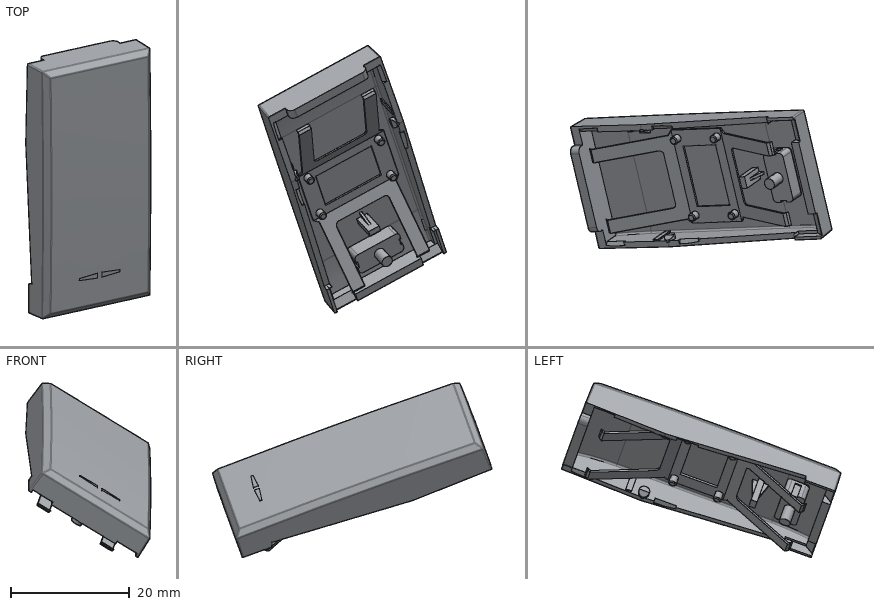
import cadquery as cq
import math


ROLL = 33.0
PITCH = 20.0

LENGTH = 44.4
WIDTH = 21.7
DRAFT = 2.0
BEVEL_SIZE = 1.05
CROWN = 0.3
EDGE_ROUND = 0.25
DEPTH = 6.6
MARGIN = 1.4

FOOT_LENGTH = 5.2
FOOT_RAMP = 0.25
FOOT_Z = -3.9
LOW_END_Z = -3.05
PIVOT_Y = 30.15
PIVOT_Z = -4.8
HIGH_END_Z = -4.35
TONGUE_HALF = 7.68
TONGUE_Z = -6.0
TONGUE_ROUND = 1.05
NOTCH_Z = -3.4
NOTCH_INNER = 6.45

CAVITY_HALF = 9.95
CAVITY_START = 1.35
CAVITY_END = 42.9
CEILING_Z = -0.4
FLAT_START = 8.15
FLAT_END = 36.02
CEILING_DROP = 0.5
CEILING_FILLET = 0.35
THIN_WALL_HALF = 10.45
THIN_WALL_Z = -2.4
GUIDE_SPANS = [(24.2, 28.0), (39.2, CAVITY_END)]
GUIDE_WIDTH = 0.65
GUIDE_HEIGHT = 0.45

BOSS_RADIUS = 0.92
BOSS_HEIGHT = 0.75
BOSS_STEP = 0.1
BOSS_Z = -3.9
ROOT = 0.25
RIB_START = 32.15
RIB_WIDTH = 1.05
RIB_HEIGHT = 0.25
RIB_Z = -4.47
STOP_Y = 12.2
STOP_LENGTH = 1.1
STOP_WIDTH = 2.05
STOP_Z = -4.9
GUSSET_LENGTH = 2.9
GUSSET_THICKNESS = 0.45
GUSSET_Z = -3.4

SPRING_CENTRE_Y = 22.15
SPRING_THICKNESS = 0.4
PLATE_HALF_LENGTH = 4.95
PLATE_HALF_WIDTH = 8.4
LEG_OUTER = 7.55
LEG_INNER = 5.2
LEG_ROOT = 6.88
LEG_TAPER = 0.7
LEG_TIP = 17.7
LEG_TIP_Z = -6.75
LEG_ROUND = 0.7
TOE_LENGTH = 0.7
TOE_RISE = 0.35
TOE_UNDERCUT = 0.25
WINDOW_LENGTH = 6.6
WINDOW_HALF_WIDTH = 5.45
PIN_RADIUS = 0.685
PIN_X = 6.9
PIN_PITCH = 8.0
PIN_Z = -2.2
PIN_CHAMFER = 0.2

PIPE_Y = 6.1
PIPE_LENGTH = 3.95
PIPE_HALF_WIDTH = 4.4
PIPE_Z = -3.25
PIPE_ROUND = 0.7
GROOVE_WIDTH = 1.15
GROOVE_DEPTH = 0.3
POST_RADIUS = 0.965
POST_Z = -6.15
MARK_INNER = 0.42
MARK_OUTER = 4.05
MARK_INNER_HALF = 0.447
MARK_OUTER_HALF = 0.2


def side_prism(profile, half_width):
    """Extrude a closed profile drawn in (Y, Z) symmetrically across the width."""
    return profile.extrude(half_width, both=True)


def box(x_span, y_span, z_span):
    size = [high - low for low, high in (x_span, y_span, z_span)]
    return cq.Workplane("XY").box(*size, centered=False).translate((x_span[0], y_span[0], z_span[0]))


def both_sides(half):
    return half.union(half.mirror("YZ"))


def make_blank():
    """Solid outside shape: drafted walls, crowned and bevelled touch face."""
    spread = DEPTH * math.tan(math.radians(DRAFT))

    crown_radius = ((LENGTH / 2) ** 2 + CROWN**2) / (2 * CROWN)
    swing = math.degrees(math.asin((LENGTH / 2 + 2 * MARGIN) / crown_radius))
    axis_z = -crown_radius
    section = [
        (WIDTH / 2 + spread, -DEPTH),
        (WIDTH / 2, 0),
        (WIDTH / 2 - BEVEL_SIZE, BEVEL_SIZE),
    ]
    outline = section + [(-x, z) for x, z in reversed(section)]
    crowned_bar = (
        cq.Workplane("XZ")
        .polyline(outline)
        .close()
        .revolve(2 * swing, (0, axis_z), (1, axis_z))
        .rotate((0, 0, axis_z), (1, 0, axis_z), -swing)
        .translate((0, LENGTH / 2, CROWN))
    )

    rise = BEVEL_SIZE + MARGIN
    length_profile = [
        (-spread, -DEPTH),
        (0, 0),
        (rise, rise),
        (LENGTH - rise, rise),
        (LENGTH, 0),
        (LENGTH + spread, -DEPTH),
    ]
    ends = side_prism(cq.Workplane("YZ").polyline(length_profile).close(), WIDTH)
    blank = crowned_bar.intersect(ends)
    above_base = cq.selectors.BoxSelector(
        (-WIDTH, -MARGIN, -0.7 * DEPTH), (WIDTH, LENGTH + MARGIN, rise)
    )
    return blank.edges(above_base).fillet(EDGE_ROUND)


def trim_walls(blank):
    """Keep the blank above the lower edge of the walls, plus the tongue of the upper end wall."""
    edge_profile = (
        cq.Workplane("YZ")
        .moveTo(-MARGIN, 2 * MARGIN)
        .lineTo(-MARGIN, FOOT_Z)
        .lineTo(FOOT_LENGTH, FOOT_Z)
        .lineTo(FOOT_LENGTH + FOOT_RAMP, LOW_END_Z)
        .lineTo(PIVOT_Y, PIVOT_Z)
        .lineTo(LENGTH, HIGH_END_Z)
        .lineTo(LENGTH + MARGIN, HIGH_END_Z)
        .lineTo(LENGTH + MARGIN, 2 * MARGIN)
        .close()
    )
    tongue = box((-TONGUE_HALF, TONGUE_HALF), (CAVITY_END, LENGTH + MARGIN), (TONGUE_Z, 0))
    tongue = tongue.edges("|Y and <Z").fillet(TONGUE_ROUND)
    return blank.intersect(side_prism(edge_profile, WIDTH).union(tongue))


def make_cavity():
    end_z = CEILING_Z - CEILING_DROP
    middle_z = CEILING_Z - CEILING_DROP / 4
    profile = (
        cq.Workplane("YZ")
        .moveTo(CAVITY_START, -DEPTH)
        .lineTo(CAVITY_START, end_z)
        .threePointArc(((CAVITY_START + FLAT_START) / 2, middle_z), (FLAT_START, CEILING_Z))
        .lineTo(FLAT_END, CEILING_Z)
        .threePointArc(((FLAT_END + CAVITY_END) / 2, middle_z), (CAVITY_END, end_z))
        .lineTo(CAVITY_END, -DEPTH)
        .close()
    )
    cavity = side_prism(profile, CAVITY_HALF)
    rim = cq.selectors.BoxSelector((-WIDTH, CAVITY_START + 0.45, end_z), (WIDTH, CAVITY_END - 0.45, 0))
    return cavity.edges(rim).edges("not |X").fillet(CEILING_FILLET)


def make_notches():
    """Notches each side of the lower end wall's middle."""
    notch = (
        cq.Workplane("YZ", origin=(NOTCH_INNER, 0, 0))
        .moveTo(CAVITY_START, -DEPTH)
        .lineTo(CAVITY_START, THIN_WALL_Z)
        .lineTo(0, NOTCH_Z)
        .lineTo(-MARGIN, NOTCH_Z)
        .lineTo(-MARGIN, -DEPTH)
        .close()
        .extrude(THIN_WALL_HALF - NOTCH_INNER)
    )
    return both_sides(notch)


def make_foot_thinning():
    half = box((CAVITY_HALF, THIN_WALL_HALF), (CAVITY_START, FOOT_LENGTH), (-DEPTH, THIN_WALL_Z))
    return both_sides(half)


def make_guide(y_start, y_end):
    """Chamfer cutter for one stretch of the inner lower wall edges."""
    def edge_z(y):
        end_y, end_z = (LENGTH, HIGH_END_Z) if y > PIVOT_Y else (FOOT_LENGTH + FOOT_RAMP, LOW_END_Z)
        return PIVOT_Z + (end_z - PIVOT_Z) * (y - PIVOT_Y) / (end_y - PIVOT_Y)

    bottom = edge_z((y_start + y_end) / 2)
    half = (
        cq.Workplane("XZ", origin=(0, y_end, 0))
        .moveTo(CAVITY_HALF, bottom + GUIDE_HEIGHT)
        .lineTo(CAVITY_HALF + GUIDE_WIDTH, bottom)
        .lineTo(CAVITY_HALF + GUIDE_WIDTH, -DEPTH)
        .lineTo(CAVITY_HALF, -DEPTH)
        .close()
        .extrude(y_end - y_start)
    )
    return both_sides(half)


def make_pivot_bosses():
    """Round bosses on the side walls whose lower half slopes away as a lead-in."""
    boss = (
        cq.Workplane("YZ", origin=(CAVITY_HALF - BOSS_HEIGHT, PIVOT_Y, BOSS_Z))
        .circle(BOSS_RADIUS)
        .extrude(BOSS_HEIGHT + ROOT)
    )
    slope = (
        cq.Workplane("XZ", origin=(0, PIVOT_Y + MARGIN, BOSS_Z))
        .moveTo(CAVITY_HALF - BOSS_HEIGHT, 0)
        .lineTo(CAVITY_HALF - BOSS_STEP, -BOSS_RADIUS - BOSS_STEP)
        .lineTo(CAVITY_HALF - BOSS_HEIGHT, -BOSS_RADIUS - BOSS_STEP)
        .close()
        .extrude(2 * MARGIN)
    )
    return both_sides(boss.cut(slope))


def make_wall_ribs():
    rib = box(
        (CAVITY_HALF - RIB_HEIGHT, CAVITY_HALF + ROOT), (RIB_START, RIB_START + RIB_WIDTH), (RIB_Z, 0)
    )
    return both_sides(rib)


def make_stop_post():
    """Rectangular post with two triangular gussets."""
    post = box(
        (-STOP_WIDTH / 2, STOP_WIDTH / 2), (STOP_Y - STOP_LENGTH / 2, STOP_Y + STOP_LENGTH / 2), (STOP_Z, 0)
    )
    gusset_profile = (
        cq.Workplane("YZ")
        .moveTo(STOP_Y - GUSSET_LENGTH / 2, 0)
        .lineTo(STOP_Y - GUSSET_LENGTH / 2, CEILING_Z)
        .lineTo(STOP_Y - STOP_LENGTH / 2, GUSSET_Z)
        .lineTo(STOP_Y + STOP_LENGTH / 2, GUSSET_Z)
        .lineTo(STOP_Y + GUSSET_LENGTH / 2, CEILING_Z)
        .lineTo(STOP_Y + GUSSET_LENGTH / 2, 0)
        .close()
    )
    return post.union(side_prism(gusset_profile, GUSSET_THICKNESS / 2))


def make_pins():
    pins = (
        cq.Workplane("XY", origin=(0, SPRING_CENTRE_Y, 0))
        .rect(2 * PIN_X, PIN_PITCH, forConstruction=True)
        .vertices()
        .circle(PIN_RADIUS)
        .extrude(PIN_Z)
    )
    return pins.faces("<Z").chamfer(PIN_CHAMFER)


def make_spring(pins):
    """Flat plate with a window and two pairs of legs bent down from its ends."""
    under_z = CEILING_Z - SPRING_THICKNESS
    toe = LEG_TIP + TOE_LENGTH
    toe_z = LEG_TIP_Z + TOE_RISE
    right = [
        (PLATE_HALF_LENGTH, under_z),
        (LEG_TIP, LEG_TIP_Z),
        (toe - TOE_UNDERCUT, toe_z),
        (toe, toe_z + SPRING_THICKNESS),
        (LEG_TIP, LEG_TIP_Z + SPRING_THICKNESS),
        (PLATE_HALF_LENGTH, CEILING_Z),
    ]
    left = [(-y, z) for y, z in reversed(right)]
    bent_strip = side_prism(
        cq.Workplane("YZ", origin=(0, SPRING_CENTRE_Y, 0)).polyline(right + left).close(), PLATE_HALF_WIDTH
    )

    shoulder = PLATE_HALF_LENGTH + LEG_TAPER
    quarter = [
        (PLATE_HALF_WIDTH, PLATE_HALF_LENGTH),
        (LEG_OUTER, shoulder),
        (LEG_OUTER, toe),
    ]
    upper = quarter + [(-x, y) for x, y in reversed(quarter)]
    lower = [(x, -y) for x, y in reversed(upper)]
    plan = (
        cq.Workplane("XY", origin=(0, SPRING_CENTRE_Y, -2 * DEPTH))
        .polyline(upper + lower)
        .close()
        .extrude(2 * DEPTH)
    )
    spring = bent_strip.intersect(plan)

    gap_length = toe + MARGIN - LEG_ROOT
    for side in (-1, 1):
        gap = (
            cq.Workplane("XY", origin=(0, SPRING_CENTRE_Y + side * (LEG_ROOT + gap_length / 2), -2 * DEPTH))
            .rect(2 * LEG_INNER, gap_length)
            .extrude(2 * DEPTH)
            .edges("|Z")
            .fillet(LEG_ROUND)
        )
        spring = spring.cut(gap)
    window = (
        cq.Workplane("XY", origin=(0, SPRING_CENTRE_Y, -DEPTH))
        .rect(2 * WINDOW_HALF_WIDTH, WINDOW_LENGTH)
        .extrude(DEPTH)
    )
    return spring.cut(window).cut(pins)


def make_light_pipe(blank):
    """Block under the ceiling with a round post below and two marks flush with the touch face."""
    block = (
        cq.Workplane("XY", origin=(0, PIPE_Y, PIPE_Z))
        .rect(2 * PIPE_HALF_WIDTH, PIPE_LENGTH)
        .extrude(CEILING_Z - PIPE_Z)
        .edges("|Z")
        .fillet(PIPE_ROUND)
    )
    groove = box(
        (PIPE_HALF_WIDTH - GROOVE_DEPTH, PIPE_HALF_WIDTH + MARGIN),
        (PIPE_Y - GROOVE_WIDTH / 2, PIPE_Y + GROOVE_WIDTH / 2),
        (PIPE_Z, CEILING_Z - CEILING_DROP),
    )
    block = block.cut(both_sides(groove))
    post = cq.Workplane("XY", origin=(0, PIPE_Y, POST_Z)).circle(POST_RADIUS).extrude(PIPE_Z - POST_Z)
    mark = (
        cq.Workplane("XY", origin=(0, PIPE_Y, CEILING_Z))
        .moveTo(MARK_INNER, -MARK_INNER_HALF)
        .lineTo(MARK_OUTER, -MARK_OUTER_HALF)
        .lineTo(MARK_OUTER, MARK_OUTER_HALF)
        .lineTo(MARK_INNER, MARK_INNER_HALF)
        .close()
        .extrude(2 * MARGIN)
    )
    return block.union(post).union(both_sides(mark).intersect(blank))


def make_cover(blank, pins, light_pipe):
    cover = trim_walls(blank).cut(make_cavity()).cut(make_notches()).cut(make_foot_thinning())
    for y_start, y_end in GUIDE_SPANS:
        cover = cover.cut(make_guide(y_start, y_end))
    for addition in (make_pivot_bosses(), make_wall_ribs(), make_stop_post(), pins):
        cover = cover.union(addition)
    return cover.cut(light_pipe)


def tilt(body):
    rolled = body.rotate((0, 0, 0), (0, 1, 0), ROLL)
    return rolled.rotate((0, 0, 0), (1, 0, 0), PITCH)


blank = make_blank()
pins = make_pins()
spring = make_spring(pins)
light_pipe = make_light_pipe(blank)
cover = make_cover(blank, pins, light_pipe)

result = cq.Compound.makeCompound([tilt(cover).val(), tilt(spring).val(), tilt(light_pipe).val()])